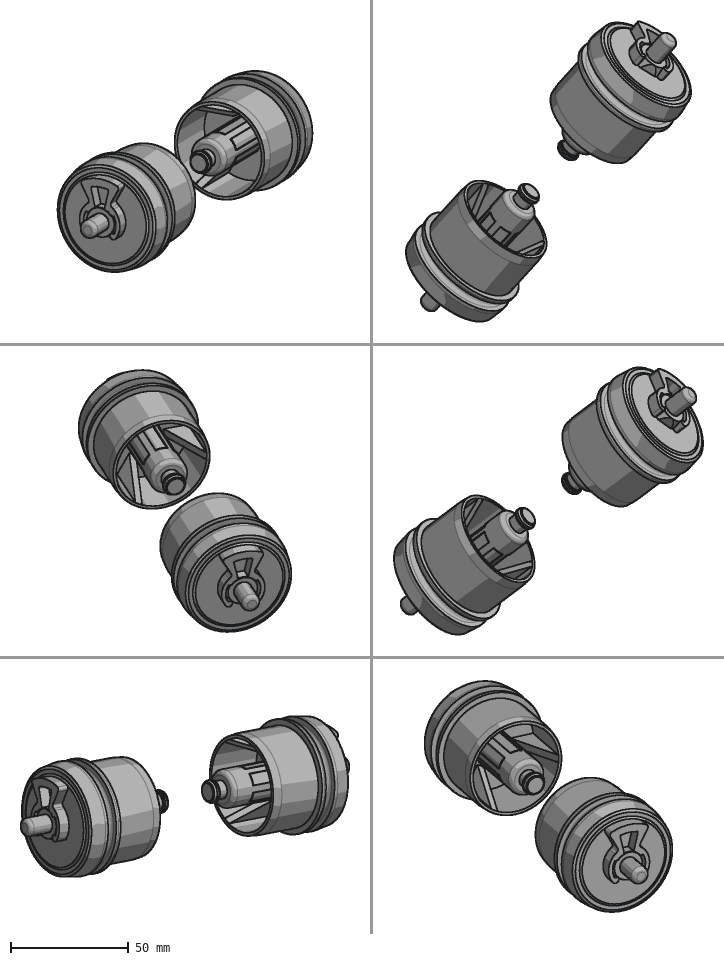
import cadquery as cq
import math


pin_end = 87.4
pin_radius = 4.0
pin_nose_radius = 2.0

peg_start = 12.2
peg_tip_radius = 3.8
peg_head_diameter = 10.0
peg_head_radius = peg_head_diameter / 2
peg_chamfer_radius = 4.4
peg_chamfer_end = 12.5
peg_crown_start = 13.6
peg_crown_end = 14.7
peg_back_radius = 4.7
peg_back = 15.4

hub_start = 19.8
hub_radius = 8.4
hub_edge_radius = 2.1
hub_relief_radius = 8.0
rail_width = 3.1
rail_count = 6

flange_start = 54.9
flange_bevel_end = 56.1
flange_end = 57.2
rim_start = 61.7
outer_radius = 25.0
flange_edge_radius = 24.8
groove_root_radius = 20.5
groove_edge_radius = groove_root_radius + (rim_start - flange_end) / 2
rim_crown = 63.3
rim_taper_end = 70.0
rim_taper_radius = 24.0
face_start = 70.5
face_outer_radius = 22.7
disc_base_radius = 20.8
disc_top_radius = 19.8
disc_top = 71.0

skirt_start = 30.8
skirt_lip_end = 35.0
skirt_lip_radius = 21.8
skirt_diameter = 44.5
skirt_radius = skirt_diameter / 2
skirt_inner_radius = 20.5
cavity_floor = flange_start
cavity_depth = cavity_floor - skirt_start

rib_count = 3
rib_width = 3.5
rib_foot_radius = 9.5
rib_root_radius = 21.0

plate_end = 76.2
plate_thickness = plate_end - disc_top
boss_base_radius = 7.7
boss_top_radius = 6.6
boss_flat_height = boss_top_radius
boss_setback = 0.7
boss_end = plate_end - boss_setback

ring_inner_radius = boss_top_radius
ring_outer_radius = 9.8
ring_end_angle = 218
ring_tangent_angle = 132
relief_radius = 7.9
relief_half_height = 4.0
plate_top_radius = disc_top_radius
plate_corner_x = 9.6
waist_x = 4.9
plate_fillet = 1.4
window_top_radius = 16.0
window_top_half_width = 4.4
window_foot_half_width = 2.3
window_fillet = 0.7


def polar(radius, degrees):
    angle = math.radians(degrees)
    return radius * math.cos(angle), radius * math.sin(angle)


def height_on_circle(radius, x):
    return math.sqrt(radius**2 - x**2)


def turned(profile):
    """Revolve a closed (radius, distance) profile about the Y axis."""
    return profile.close().revolve(360, (0, 0, 0), (0, 1, 0))


def sketch_at(distance):
    """XZ sketch plane at the given distance from the midplane."""
    return cq.Workplane("XZ", origin=(0, distance, 0))


def outward(sketch, length):
    """Extrude an XZ sketch along +Y, which is against the normal of its plane."""
    return sketch.extrude(-length)


def outer_shell():
    groove_middle = (flange_end + rim_start) / 2
    return turned(
        cq.Workplane("XY")
        .moveTo(0, skirt_start)
        .lineTo(skirt_lip_radius, skirt_start)
        .lineTo(skirt_radius, skirt_lip_end)
        .lineTo(skirt_radius, flange_start)
        .lineTo(outer_radius, flange_start)
        .lineTo(outer_radius, flange_bevel_end)
        .lineTo(flange_edge_radius, flange_end)
        .lineTo(groove_edge_radius, flange_end)
        .threePointArc((groove_root_radius, groove_middle), (groove_edge_radius, rim_start))
        .lineTo(outer_radius, rim_start)
        .lineTo(outer_radius, rim_crown)
        .lineTo(rim_taper_radius, rim_taper_end)
        .lineTo(face_outer_radius, face_start)
        .lineTo(disc_base_radius, face_start)
        .lineTo(disc_top_radius, disc_top)
        .lineTo(0, disc_top)
    )


def cavity():
    return outward(sketch_at(skirt_start).circle(skirt_inner_radius), cavity_depth)


def gusset_ribs():
    """Ribs that slope from near the hub at the cavity floor out to the skirt edge."""
    rib = (
        cq.Workplane("XY")
        .moveTo(rib_foot_radius, cavity_floor)
        .lineTo(skirt_inner_radius, skirt_start)
        .lineTo(rib_root_radius, skirt_start)
        .lineTo(rib_root_radius, cavity_floor)
        .close()
        .extrude(rib_width / 2, both=True)
    )
    ribs = cq.Workplane("XY")
    for i in range(rib_count):
        ribs = ribs.add(rib.rotate((0, 0, 0), (0, 1, 0), i * 360 / rib_count))
    return ribs.combine()


def hub():
    """Round-ended sleeve that is relieved inside the cavity, with flush lengthwise rails."""
    sleeve = turned(
        cq.Workplane("XY")
        .moveTo(0, hub_start)
        .lineTo(hub_radius - hub_edge_radius, hub_start)
        .radiusArc((hub_radius, hub_start + hub_edge_radius), -hub_edge_radius)
        .lineTo(hub_radius, skirt_start)
        .lineTo(hub_relief_radius, skirt_start)
        .lineTo(hub_relief_radius, cavity_floor)
        .lineTo(0, cavity_floor)
    )
    spokes = (
        sketch_at(skirt_start)
        .polarArray(hub_radius / 2, 0, 360, rail_count)
        .rect(hub_radius, rail_width)
    )
    full_round = outward(sketch_at(skirt_start).circle(hub_radius), cavity_depth)
    rails = outward(spokes, cavity_depth).intersect(full_round)
    return sleeve.union(rails)


def axle():
    return turned(
        cq.Workplane("XY")
        .moveTo(0, peg_start)
        .lineTo(peg_tip_radius, peg_start)
        .lineTo(peg_chamfer_radius, peg_chamfer_end)
        .lineTo(peg_head_radius, peg_crown_start)
        .lineTo(peg_head_radius, peg_crown_end)
        .lineTo(peg_back_radius, peg_back)
        .lineTo(pin_radius, peg_back)
        .lineTo(pin_radius, pin_end - pin_nose_radius)
        .radiusArc((pin_radius - pin_nose_radius, pin_end), -pin_nose_radius)
        .lineTo(0, pin_end)
    )


def plate_outline():
    """Open ring around the boss with two round-ended arms below and a fan-shaped tab above."""
    tangent_x, tangent_z = polar(ring_outer_radius, ring_tangent_angle)
    tangent_slope = math.tan(math.radians(ring_tangent_angle - 90))
    waist_z = tangent_z + (-waist_x - tangent_x) * tangent_slope
    corner_z = height_on_circle(plate_top_radius, plate_corner_x)

    outer_x, outer_z = polar(ring_outer_radius, ring_end_angle)
    inner_x, inner_z = polar(ring_inner_radius, ring_end_angle)
    middle_x, middle_z = polar((ring_outer_radius + ring_inner_radius) / 2, ring_end_angle)
    reach_x, reach_z = polar((ring_outer_radius - ring_inner_radius) / 2, ring_end_angle + 90)
    tip_x = middle_x + reach_x
    tip_z = middle_z + reach_z

    sketch = (
        sketch_at(disc_top)
        .moveTo(-plate_corner_x, corner_z)
        .threePointArc((0, plate_top_radius), (plate_corner_x, corner_z))
        .lineTo(waist_x, waist_z)
        .lineTo(-tangent_x, tangent_z)
        .threePointArc((ring_outer_radius, 0), (-outer_x, outer_z))
        .threePointArc((-tip_x, tip_z), (-inner_x, inner_z))
        .threePointArc((0, ring_inner_radius), (inner_x, inner_z))
        .threePointArc((tip_x, tip_z), (outer_x, outer_z))
        .threePointArc((-ring_outer_radius, 0), (tangent_x, tangent_z))
        .lineTo(-waist_x, waist_z)
        .close()
    )
    tab_edges = cq.selectors.BoxSelector(
        (-plate_top_radius, disc_top, (tangent_z + waist_z) / 2),
        (plate_top_radius, plate_end, plate_top_radius),
    )
    return outward(sketch, plate_thickness).edges(tab_edges).edges("|Y").fillet(plate_fillet)


def plate_window():
    top_z = height_on_circle(window_top_radius, window_top_half_width)
    sketch = (
        sketch_at(disc_top)
        .moveTo(-window_foot_half_width, ring_inner_radius)
        .lineTo(-window_top_half_width, top_z)
        .threePointArc((0, window_top_radius), (window_top_half_width, top_z))
        .lineTo(window_foot_half_width, ring_inner_radius)
        .close()
    )
    return outward(sketch, plate_thickness).edges("|Y and (>X or <X)").fillet(window_fillet)


def side_reliefs():
    """Clearance on both sides of the boss, as one drum with a flat top and bottom."""
    drum = outward(sketch_at(disc_top).circle(relief_radius), plate_thickness)
    band = sketch_at(disc_top).rect(2 * relief_radius, 2 * relief_half_height)
    return drum.intersect(outward(band, plate_thickness))


def locking_plate():
    return plate_outline().cut(plate_window()).cut(side_reliefs())


def centre_boss():
    """Conical boss around the axle, with a flat above and a flat below."""
    cone = turned(
        cq.Workplane("XY")
        .moveTo(0, disc_top)
        .lineTo(boss_base_radius, disc_top)
        .lineTo(boss_top_radius, boss_end)
        .lineTo(0, boss_end)
    )
    slab = sketch_at(disc_top).rect(2 * boss_base_radius, 2 * boss_flat_height)
    return cone.intersect(outward(slab, plate_thickness))


def roller_body():
    return (
        outer_shell()
        .cut(cavity())
        .union(gusset_ribs())
        .union(hub())
        .union(axle())
        .union(locking_plate())
        .union(centre_boss())
    )


roller = roller_body()
rollers = []
for turn in (0, 180):
    rollers.append(roller.rotate((0, 0, 0), (0, 0, 1), turn).val())

result = cq.Compound.makeCompound(rollers)